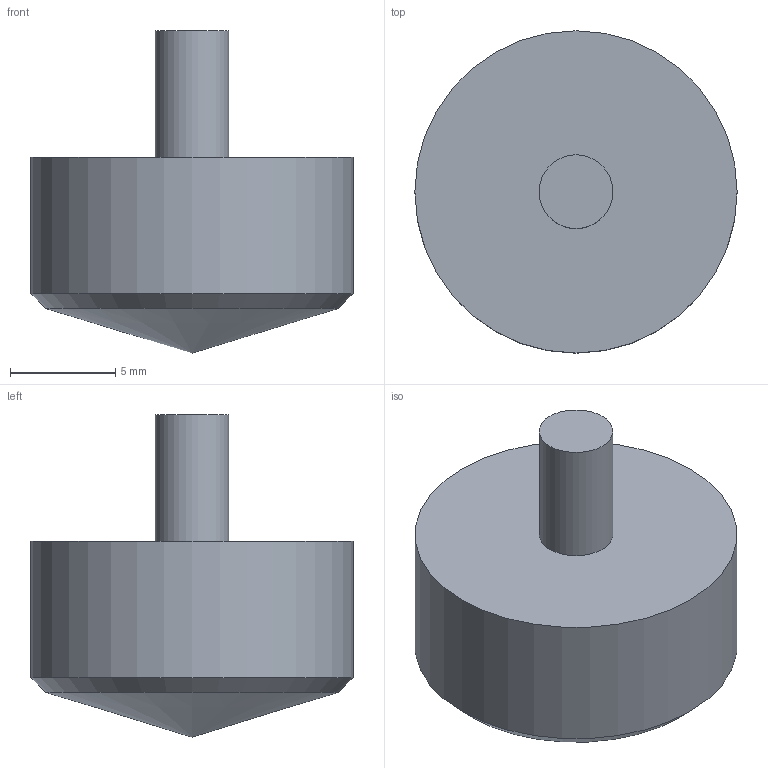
import cadquery as cq
import math

body_diameter = 15.3
pin_diameter = 3.5
total_height = 15.3
pin_length = 6.0
chamfer_size = 0.7
cone_slope = 17.0

body_radius = body_diameter / 2
pin_radius = pin_diameter / 2
cone_radius = body_radius - chamfer_size

cone_height = cone_radius * math.tan(math.radians(cone_slope))
chamfer_top = cone_height + chamfer_size
body_top = total_height - pin_length


def turned_body():
    """Cylinder with a chamfered lower edge and a shallow conical point."""
    half_profile = (
        cq.Workplane("XZ")
        .moveTo(0, 0)
        .lineTo(cone_radius, cone_height)
        .lineTo(body_radius, chamfer_top)
        .lineTo(body_radius, body_top)
        .lineTo(0, body_top)
        .close()
    )
    return half_profile.revolve(360, (0, 0, 0), (0, 1, 0))


def pin():
    """Plain round pin standing on the flat top of the body."""
    return cq.Workplane("XY").workplane(offset=body_top).circle(pin_radius).extrude(pin_length)


result = turned_body().union(pin())